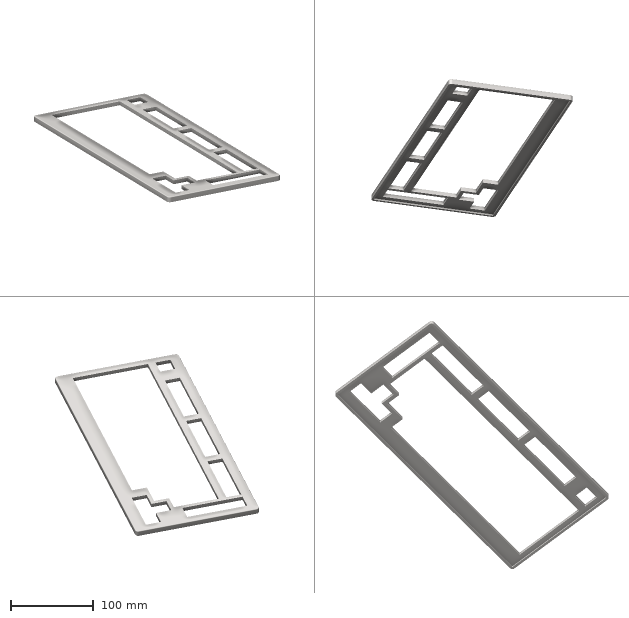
import cadquery as cq

LENGTH = 329.5
WIDTH = 157.0
THICKNESS = 7.0
CORNER_RADIUS = 4.0
TOP_FILLET = 1.0

RECESS_DEPTH = 2.0
RIM_WIDTH = 3.13
RECESS_CORNER_RADIUS = CORNER_RADIUS - RIM_WIDTH

FUNCTION_GROUP_STARTS = (2, 6.5, 11)
FUNCTION_GROUP_KEYS = 4
MAIN_TOP = 1.5
MAIN_ROWS = 5
MAIN_COLUMNS = 15
MAIN_BOTTOM = MAIN_TOP + MAIN_ROWS
UPPER_STEP = 1
LOWER_STEP = 2.5
CLUSTER_GAP = 0.25
SIDE_COLUMN_KEYS = 4
ARROW_KEYS_ACROSS = 3
FIELD_COLUMNS = MAIN_COLUMNS + CLUSTER_GAP + 1

FIELD_LENGTH = 309.8
FIELD_SHIFT = 0.15
TOP_MARGIN = 12.5
KEY_PITCH = FIELD_LENGTH / FIELD_COLUMNS
FIELD_LEFT = -FIELD_LENGTH / 2 - FIELD_SHIFT
FIELD_TOP = WIDTH / 2 - TOP_MARGIN


def grid_point(column, row):
    """Plate coordinates of a grid position; rows count toward -Y."""
    return FIELD_LEFT + column * KEY_PITCH, FIELD_TOP - row * KEY_PITCH


def opening(corners):
    """Through-cutter whose outline joins the given grid positions."""
    outline = [grid_point(column, row) for column, row in corners]
    return cq.Workplane("XY").polyline(outline).close().extrude(THICKNESS)


def key_block(column, row, columns=1, rows=1):
    """Through-cutter for a rectangular block of keys."""
    right = column + columns
    bottom = row + rows
    return opening([(column, row), (right, row), (right, bottom), (column, bottom)])


def main_block():
    """Main key opening, stepped at its lower right to clear the arrow keys."""
    upper_step_end = MAIN_COLUMNS - UPPER_STEP
    lower_step_end = MAIN_COLUMNS - LOWER_STEP
    return opening([
        (0, MAIN_TOP),
        (MAIN_COLUMNS, MAIN_TOP),
        (MAIN_COLUMNS, MAIN_BOTTOM - 2),
        (upper_step_end, MAIN_BOTTOM - 2),
        (upper_step_end, MAIN_BOTTOM - 1),
        (lower_step_end, MAIN_BOTTOM - 1),
        (lower_step_end, MAIN_BOTTOM),
        (0, MAIN_BOTTOM),
    ])


def arrow_block():
    """Inverted-T opening: one key centred above a row of three."""
    right = FIELD_COLUMNS
    left = right - ARROW_KEYS_ACROSS
    bottom = MAIN_BOTTOM + CLUSTER_GAP
    return opening([
        (left, bottom),
        (left, bottom - 1),
        (left + 1, bottom - 1),
        (left + 1, bottom - 2),
        (right - 1, bottom - 2),
        (right - 1, bottom - 1),
        (right, bottom - 1),
        (right, bottom),
    ])


def rounded_block(length, width, height, corner_radius):
    """Block resting on Z = 0 with rounded vertical corners."""
    block = cq.Workplane("XY").box(length, width, height, centered=(True, True, False))
    return block.edges("|Z").fillet(corner_radius)


plate = rounded_block(LENGTH, WIDTH, THICKNESS, CORNER_RADIUS)
plate = plate.faces(">Z").edges().fillet(TOP_FILLET)

recess_length = LENGTH - 2 * RIM_WIDTH
recess_width = WIDTH - 2 * RIM_WIDTH
plate = plate.cut(rounded_block(recess_length, recess_width, RECESS_DEPTH, RECESS_CORNER_RADIUS))

plate = plate.cut(key_block(0, 0))
for group_start in FUNCTION_GROUP_STARTS:
    plate = plate.cut(key_block(group_start, 0, columns=FUNCTION_GROUP_KEYS))
plate = plate.cut(key_block(MAIN_COLUMNS + CLUSTER_GAP, 0, rows=SIDE_COLUMN_KEYS))

plate = plate.cut(main_block())
plate = plate.cut(arrow_block())

result = plate